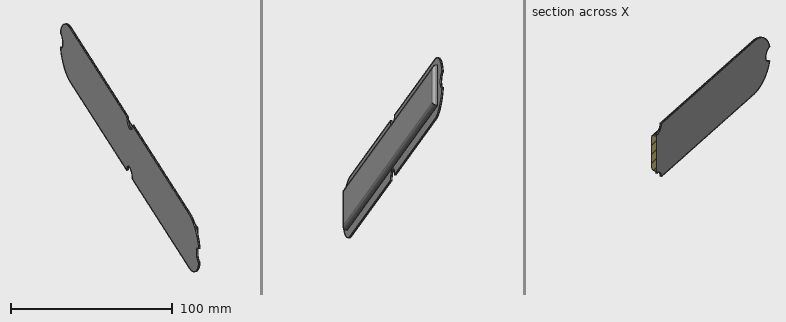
import cadquery as cq

tip_to_tip = 267.5
plate_width = 39.0
total_depth = 4.0

plate_thickness = 1.0
notch_radius = 5.4
end_radius = plate_width / 2
apex_loss = notch_radius**2 / (2 * end_radius)
uncut_length = tip_to_tip + 2 * apex_loss

pad_length = 245.0
pad_width = 26.2
pad_edge_radius = 2.0


def xz_plane(y):
    """Workplane at depth y whose local axes are X and Z; negative extrusions go toward +Y."""
    return cq.Workplane("XZ", origin=(0, y, 0))


def make_plate():
    blank = xz_plane(0).slot2D(uncut_length, plate_width).extrude(-plate_thickness)
    notch_centers = [
        (-uncut_length / 2, 0),
        (uncut_length / 2, 0),
        (0, -plate_width / 2),
        (0, plate_width / 2),
    ]
    notches = xz_plane(0).pushPoints(notch_centers).circle(notch_radius).extrude(-plate_thickness)
    return blank.cut(notches)


def make_pad():
    pad_height = total_depth - plate_thickness
    pad = xz_plane(plate_thickness).rect(pad_length, pad_width).extrude(-pad_height)
    return pad.faces(">Y").edges().fillet(pad_edge_radius)


result = make_plate().union(make_pad())